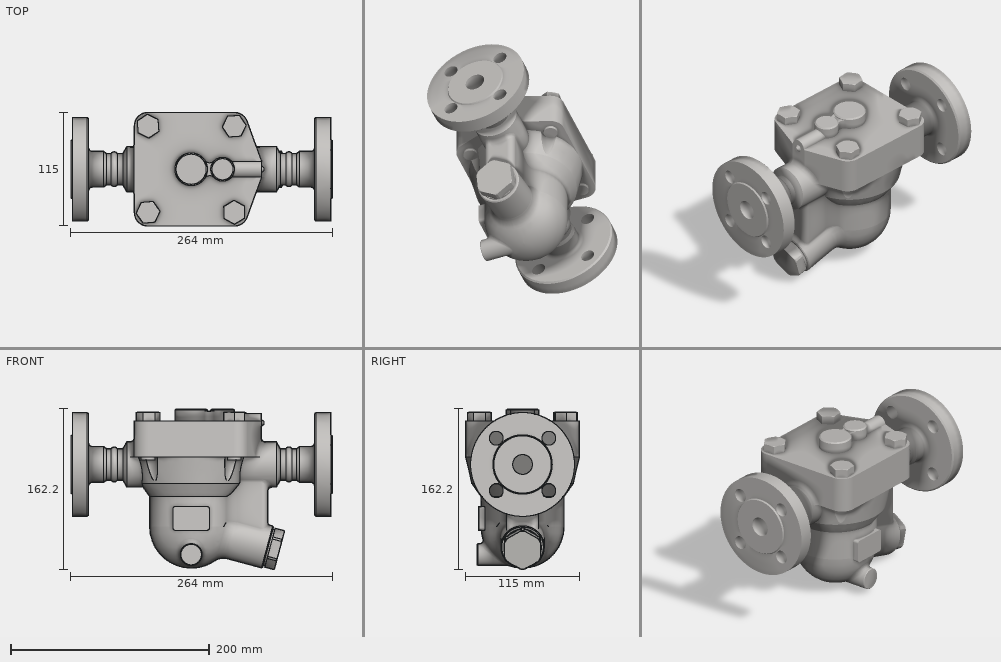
import cadquery as cq
import math

overall_length = 264.0
body_x = -10.5

hex_corner_ratio = 1 / math.cos(math.radians(30))

flange_radius = 105.0 / 2
flange_thickness = 16.5
flange_chamfer = 1.5
face_radius = 58.0 / 2
face_base_radius = 60.0 / 2
face_height = 1.5
flange_hole_diameter = 14.0
flange_hole_circle = 75.0
flange_hole_count = 4
flange_first_hole_angle = 45.0
bore_diameter = 20.0
pipe_radius = 32.0 / 2
neck_radius = 18.2
neck_fillet = 3.6
neck_length = 15.0
neck_taper = 3.0
bead_x = 88.2
bead_half_width = 3.1
bead_height = 1.7
boss_radius = 46.0 / 2
boss_end_x = 75.5
boss_chamfer_length = 4.0

plate_bottom_z = 7.5
plate_top_z = 44.0
bolt_offset = 43.5
plate_corner_radius = 14.0
plate_nose_x = 60.3
plate_nose_half_width = 9.0
plate_fillet = 4.0
bolt_flats = 21.0
bolt_corners = bolt_flats * hex_corner_ratio
bolt_head_height = 8.8
bolt_head_chamfer = 0.5
bolt_end_diameter = 14.0
bolt_end_length = 3.0
bolt_clearance_radius = 9.6
bolts = [(-1, -1, 5), (-1, 1, 34), (1, -1, 31), (1, 1, 4)]

cover_boss_radius = 33.0 / 2
cover_boss_top_z = 56.05
small_boss_x = 21.2
small_boss_radius = 24.0 / 2
boss_edge_chamfer = 1.3
web_side_radius = 6.0
web_top_z = 53.8
tube_diameter = 16.0
tube_z = 43.5
tip_radius = 3.5
tip_end_radius = 1.5
tip_length = 2.8
tip_z = 42.0

bowl_radius = 42.0
bowl_centre_z = -62.7
bowl_top_z = -32.3
shoulder_z = -19.0
shoulder_radius = 51.4
body_top_radius = 57.5

strainer_angle = 15.0
strainer_radius = 44.0 / 2
strainer_length = 80.4
strainer_root_fillet = 16.0
strainer_chamfer = 1.0
plug_neck_length = 2.0
plug_neck_radius = 19.0
plug_flats = 36.5
plug_corner_radius = 20.4
plug_end = 92.4
plug_chamfer = 0.8

block_half_width = 16.0
block_end_x = 67.0
block_corner_radius = 6.4
block_root_fillet = 16.0
block_bottom_z = -74.0
seam_bottom_z = -67.0
seam_top_z = -57.0
boss_seam_top_z = -10.0
block_top_fillet = 4.0
block_foot_fillet = 3.0

pad_length = 37.0
pad_height = 24.0
pad_corner_radius = 2.5
pad_centre_z = -54.5
pad_face_y = -44.3
drain_radius = 22.0 / 2
drain_z = -91.0
drain_end_y = -45.8
drain_chamfer = 0.6
drain_fillet = 3.5


def cylinder_z(x, y, radius, bottom, top):
    return cq.Workplane("XY", origin=(x, y, bottom)).circle(radius).extrude(top - bottom)


def pipe_end():
    """Flanged pipe on the +X side, turned about the X axis."""
    face_x = overall_length / 2
    front_x = face_x - face_height
    back_x = front_x - flange_thickness
    neck_x = back_x - neck_length
    pipe = (
        cq.Workplane("XY")
        .moveTo(0, 0)
        .lineTo(0, pipe_radius)
        .lineTo(bead_x - bead_half_width, pipe_radius)
        .threePointArc((bead_x, pipe_radius + bead_height), (bead_x + bead_half_width, pipe_radius))
        .lineTo(neck_x - neck_taper, pipe_radius)
        .lineTo(neck_x, neck_radius)
        .lineTo(back_x - neck_fillet, neck_radius)
        .radiusArc((back_x, neck_radius + neck_fillet), -neck_fillet)
        .lineTo(back_x, flange_radius - flange_chamfer)
        .lineTo(back_x + flange_chamfer, flange_radius)
        .lineTo(front_x, flange_radius)
        .lineTo(front_x, face_base_radius)
        .lineTo(face_x, face_radius)
        .lineTo(face_x, 0)
        .close()
        .revolve(360, (0, 0, 0), (1, 0, 0))
    )
    holes = (
        cq.Workplane("YZ", origin=(back_x, 0, 0))
        .polarArray(flange_hole_circle / 2, flange_first_hole_angle, 360, flange_hole_count)
        .circle(flange_hole_diameter / 2)
        .extrude(flange_thickness)
    )
    return pipe.cut(holes)


def bore():
    """Blind bore of the +X pipe end, reaching to the pipe boss."""
    bottom_x = boss_end_x + boss_chamfer_length
    return (
        cq.Workplane("YZ", origin=(bottom_x, 0, 0))
        .circle(bore_diameter / 2)
        .extrude(overall_length / 2 - bottom_x)
    )


def pipe_boss():
    """Thick horizontal barrel through the body, coned at both ends."""
    tip_x = boss_end_x + boss_chamfer_length
    return (
        cq.Workplane("XY")
        .moveTo(-tip_x, 0)
        .lineTo(-tip_x, pipe_radius)
        .lineTo(-boss_end_x, boss_radius)
        .lineTo(boss_end_x, boss_radius)
        .lineTo(tip_x, pipe_radius)
        .lineTo(tip_x, 0)
        .close()
        .revolve(360, (0, 0, 0), (1, 0, 0))
    )


def plate():
    """Bolted plates: rounded corners, tapering on the +X side to a flat nose."""
    right_x = body_x + bolt_offset
    left_x = body_x - bolt_offset
    edge_y = bolt_offset + plate_corner_radius
    radius = plate_corner_radius
    dx = plate_nose_x - right_x
    dy = plate_nose_half_width - bolt_offset
    normal_angle = math.atan2(dy, dx) + math.acos(radius / math.hypot(dx, dy))
    tangent_x = right_x + radius * math.cos(normal_angle)
    tangent_y = bolt_offset + radius * math.sin(normal_angle)
    return (
        cq.Workplane("XY", origin=(0, 0, plate_bottom_z))
        .moveTo(left_x, edge_y)
        .lineTo(right_x, edge_y)
        .radiusArc((tangent_x, tangent_y), radius)
        .lineTo(plate_nose_x, plate_nose_half_width)
        .lineTo(plate_nose_x, -plate_nose_half_width)
        .lineTo(tangent_x, -tangent_y)
        .radiusArc((right_x, -edge_y), radius)
        .lineTo(left_x, -edge_y)
        .radiusArc((left_x - radius, -bolt_offset), radius)
        .lineTo(left_x - radius, bolt_offset)
        .radiusArc((left_x, edge_y), radius)
        .close()
        .extrude(plate_top_z - plate_bottom_z)
    )


def plate_with_boss():
    """Plates and pipe boss, with a fillet where the boss leaves the plate sides."""
    joined = plate().union(pipe_boss())
    left_x = body_x - bolt_offset - plate_corner_radius
    reach = 2.0
    span = 2 * boss_radius + reach
    left_zone = cq.selectors.BoxSelector(
        (left_x - reach, -span, plate_bottom_z + reach), (left_x + reach, span, boss_radius + reach)
    )
    right_zone = cq.selectors.BoxSelector(
        (body_x + bolt_offset + plate_corner_radius, -span, plate_bottom_z + reach),
        (plate_nose_x + reach, span, boss_radius + reach),
    )
    seams = joined.edges(left_zone).add(joined.edges(right_zone)).edges("not(|Z)")
    return seams.fillet(plate_fillet)


def body():
    """Domed bowl, shoulder and flared upper body, turned about the vertical axis."""
    dome = bowl_radius * math.sqrt(0.5)
    return (
        cq.Workplane("XZ", origin=(body_x, 0, 0))
        .moveTo(0, bowl_centre_z - bowl_radius)
        .threePointArc((dome, bowl_centre_z - dome), (bowl_radius, bowl_centre_z))
        .lineTo(bowl_radius, bowl_top_z)
        .lineTo(shoulder_radius, shoulder_z)
        .lineTo(body_top_radius, plate_bottom_z)
        .lineTo(0, plate_bottom_z)
        .close()
        .revolve(360, (0, 0, 0), (0, 1, 0))
    )


def bolt_places():
    for side_x, side_y, rotation in bolts:
        yield body_x + side_x * bolt_offset, side_y * bolt_offset, rotation


def bolt_head(x, y, rotation):
    hexagon = (
        cq.Workplane("XY")
        .polygon(6, bolt_corners)
        .extrude(bolt_head_height)
        .rotate((0, 0, 0), (0, 0, 1), rotation)
    )
    envelope = (
        cq.Workplane("XY")
        .circle(bolt_corners / 2)
        .extrude(bolt_head_height)
        .faces(">Z")
        .chamfer(bolt_head_chamfer, bolt_corners / 2 - bolt_flats / 2)
    )
    return hexagon.intersect(envelope).translate((x, y, plate_top_z))


def boss_web():
    """Web between the two cover bosses, with hollow sides tangent to both."""
    spacing = small_boss_x - body_x
    large_reach = cover_boss_radius + web_side_radius
    small_reach = small_boss_radius + web_side_radius
    hollow_x = (spacing**2 + large_reach**2 - small_reach**2) / (2 * spacing)
    hollow_y = math.sqrt(large_reach**2 - hollow_x**2)
    large_x = body_x + hollow_x * cover_boss_radius / large_reach
    large_y = hollow_y * cover_boss_radius / large_reach
    small_x = small_boss_x - (spacing - hollow_x) * small_boss_radius / small_reach
    small_y = hollow_y * small_boss_radius / small_reach
    return (
        cq.Workplane("XY", origin=(0, 0, plate_top_z))
        .moveTo(large_x, large_y)
        .radiusArc((small_x, small_y), -web_side_radius)
        .lineTo(small_x, -small_y)
        .radiusArc((large_x, -large_y), -web_side_radius)
        .close()
        .extrude(web_top_z - plate_top_z)
    )


def cover_bosses():
    """Two round bosses joined by a web, with a half-sunk tube running to the nose."""
    large = cylinder_z(body_x, 0, cover_boss_radius, plate_top_z, cover_boss_top_z)
    small = cylinder_z(small_boss_x, 0, small_boss_radius, plate_top_z, cover_boss_top_z)
    web = boss_web()
    tube = (
        cq.Workplane("YZ", origin=(small_boss_x, 0, tube_z))
        .circle(tube_diameter / 2)
        .extrude(plate_nose_x - small_boss_x)
    )
    tip = cq.Workplane(
        cq.Solid.makeCone(
            tip_radius, tip_end_radius, tip_length, cq.Vector(plate_nose_x, 0, tip_z), cq.Vector(1, 0, 0)
        )
    )
    large = large.faces(">Z").chamfer(boss_edge_chamfer)
    small = small.faces(">Z").chamfer(boss_edge_chamfer)
    return large.union(small).union(web).union(tube).union(tip)


def bowl_blend(half_width, fillet):
    """Tangent points of a fillet from the bowl circle to a straight side at half_width.

    Returns the distance to the point on the side, then the distance and offset
    of the point on the bowl, all from the bowl centre.
    """
    centre_distance = bowl_radius + fillet
    centre_offset = half_width + fillet
    side_x = math.sqrt(centre_distance**2 - centre_offset**2)
    share = bowl_radius / centre_distance
    return side_x, side_x * share, centre_offset * share


def strainer():
    """Inclined branch pointing at the bowl centre, blended into the dome, with its hex plug."""
    blend_x, root_x, root_radius = bowl_blend(strainer_radius, strainer_root_fillet)
    branch = (
        cq.Workplane("XY")
        .moveTo(0, 0)
        .lineTo(root_x, root_radius)
        .radiusArc((blend_x, strainer_radius), -strainer_root_fillet)
        .lineTo(strainer_length - strainer_chamfer, strainer_radius)
        .lineTo(strainer_length, strainer_radius - strainer_chamfer)
        .lineTo(strainer_length, plug_neck_radius)
        .lineTo(strainer_length + plug_neck_length, plug_neck_radius)
        .lineTo(strainer_length + plug_neck_length, 0)
        .close()
        .revolve(360, (0, 0, 0), (1, 0, 0))
    )
    plug_plane = cq.Workplane("YZ", origin=(strainer_length + plug_neck_length, 0, 0))
    plug_length = plug_end - strainer_length - plug_neck_length
    hexagon = (
        plug_plane.polygon(6, plug_flats * hex_corner_ratio)
        .extrude(plug_length)
        .rotate((0, 0, 0), (1, 0, 0), 90)
    )
    envelope = plug_plane.circle(plug_corner_radius).extrude(plug_length).faces(">X").chamfer(plug_chamfer)
    return (
        branch.union(hexagon.intersect(envelope))
        .rotate((0, 0, 0), (0, 1, 0), strainer_angle)
        .translate((body_x, 0, bowl_centre_z))
    )


def passage_slab():
    """Upright slab from the body axis out to its end face, with rounded outer corners."""
    return (
        cq.Workplane("XY", origin=(body_x, 0, block_bottom_z))
        .box(block_end_x - body_x, 2 * block_half_width, -block_bottom_z, centered=(False, True, False))
        .edges("|Z and >X")
        .fillet(block_corner_radius)
    )


def passage_root():
    """Hollow blends between the bowl wall and the flat sides of the slab."""
    blend_x, root_x, root_y = bowl_blend(block_half_width, block_root_fillet)
    return (
        cq.Workplane("XY", origin=(body_x, 0, block_bottom_z))
        .moveTo(0, 0)
        .lineTo(root_x, -root_y)
        .radiusArc((blend_x, -block_half_width), block_root_fillet)
        .lineTo(blend_x, block_half_width)
        .radiusArc((root_x, root_y), block_root_fillet)
        .close()
        .extrude(-block_bottom_z)
    )


def nameplate_pad():
    return (
        cq.Workplane("XZ", origin=(body_x, 0, pad_centre_z))
        .rect(pad_length, pad_height)
        .extrude(-pad_face_y)
        .edges("|Y")
        .fillet(pad_corner_radius)
    )


def drain_boss():
    return (
        cq.Workplane("XZ", origin=(body_x, 0, drain_z))
        .circle(drain_radius)
        .extrude(-drain_end_y)
        .faces("<Y")
        .chamfer(drain_chamfer)
    )


def fillet_drain(part):
    """Fillet the seam between the drain boss and the dome."""
    seam_zone = cq.selectors.BoxSelector(
        (body_x - 2 * drain_radius, drain_end_y + 2 * drain_chamfer, drain_z - 2 * drain_radius),
        (body_x + 2 * drain_radius, -drain_radius, drain_z + 2 * drain_radius),
    )
    return part.edges(seam_zone).edges("not(#Z)").fillet(drain_fillet)


def fillet_slab_top(part):
    """Fillet the seam where the slab runs up into the pipe boss."""
    seam_zone = cq.selectors.BoxSelector(
        (body_x, -boss_radius, -boss_radius), (block_end_x + block_top_fillet, boss_radius, boss_seam_top_z)
    )
    boss_seam = part.edges(seam_zone).edges("not(|Z)")
    return boss_seam.fillet(block_top_fillet)


def fillet_slab_foot(part):
    """Fillet the seam where the slab and its bowl blends stand on the strainer branch."""
    _, root_x, root_y = bowl_blend(block_half_width, block_root_fillet)
    seam_zone = cq.selectors.BoxSelector(
        (body_x + root_x - block_foot_fillet, -root_y - block_foot_fillet, seam_bottom_z),
        (block_end_x + block_foot_fillet, root_y + block_foot_fillet, seam_top_z),
    )
    return part.edges(seam_zone).edges("not(|Z)").fillet(block_foot_fillet)


shell = body()
for bolt_x, bolt_y, _ in bolt_places():
    shell = shell.cut(cylinder_z(bolt_x, bolt_y, bolt_clearance_radius, shoulder_z, plate_bottom_z))

upper = fillet_slab_top(plate_with_boss().union(passage_slab()))
result = shell.union(upper).union(passage_root()).union(strainer())
result = fillet_slab_foot(result)
result = fillet_drain(result.union(drain_boss()))
result = result.union(nameplate_pad()).union(cover_bosses())
for bolt_x, bolt_y, head_rotation in bolt_places():
    result = result.union(bolt_head(bolt_x, bolt_y, head_rotation))
    result = result.union(
        cylinder_z(bolt_x, bolt_y, bolt_end_diameter / 2, plate_bottom_z - bolt_end_length, plate_bottom_z)
    )

right_end = pipe_end()
left_end = right_end.mirror("YZ")
result = result.union(right_end).union(left_end)
result = result.cut(bore()).cut(bore().mirror("YZ"))